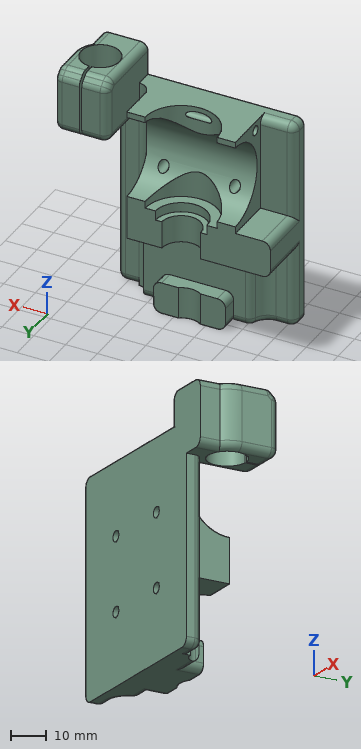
import cadquery as cq
import math

plate_width = 56.0
plate_height = 66.8
plate_thickness = 5.2
rim_radius = 2.55

web_left = 11.0
web_right = 45.2
web_depth = 20.2
shelf_bottom = 25.2
shelf_top = 36.8
gusset_radius = 4.0
pad_depth = 10.25
pad_sweep_radius = 5.0

stop_left = 16.8
stop_depth = 15.2
stop_height = 10.0

bore_x = 28.1
sink_radius = 11.3
collar_radius = 8.1
groove_radius = 6.1
collar_depth = 3.0

duct_radius = 13.0
duct_z = 52.0
fan_hole_offset = 12.0
fan_hole_diameter = 2.9

screw_diameter = 3.2
screw_spacing = 22.5
screw_left = 16.8
screw_low = 22.2

clamp_left = 49.1
clamp_right = 66.0
clamp_foot_right = 63.7
clamp_depth = 24.0
clamp_bottom = 56.9
clamp_top = 77.0
clamp_chamfer = 2.6
clamp_rounding = 2.5
rod_x = 57.75
rod_y = 12.1
rod_radius = 6.0
slit_width = 0.8

margin = 0.8


def box(x0, x1, y0, y1, z0, z1):
    """Box between two opposite corners."""
    return cq.Workplane("XY").box(x1 - x0, y1 - y0, z1 - z0, centered=False).translate((x0, y0, z0))


def upright_cylinder(x, y, radius, z0, z1):
    """Cylinder along Z from z0 to z1."""
    return cq.Workplane("XY", origin=(x, y, z0)).circle(radius).extrude(z1 - z0)


def make_plate():
    """Plate with round corners and a round rim on its back."""
    plate = box(0, plate_width, 0, plate_thickness, 0, plate_height).edges("|Y").fillet(rim_radius)
    return plate.faces(">Y").edges().fillet(rim_radius)


def make_web():
    """Upright housing with its right flank running out into the plate."""
    return (
        cq.Workplane("XY", origin=(0, 0, shelf_bottom))
        .moveTo(web_left, 0)
        .lineTo(web_left, web_depth)
        .lineTo(web_right, web_depth)
        .lineTo(web_right, plate_thickness + gusset_radius)
        .radiusArc((web_right + gusset_radius, plate_thickness), -gusset_radius)
        .lineTo(web_right + gusset_radius, 0)
        .close()
        .extrude(plate_height - shelf_bottom)
    )


def make_shelf():
    """Ledge that reaches out to the left side of the plate."""
    return box(0, web_right, 0, web_depth, shelf_bottom, shelf_top).edges("|Y and <X").fillet(rim_radius)


def make_pad():
    """Thick lower area: round rim, hollow flank and round shoulder on the left, gusset on the right."""
    sweep_x = web_left - pad_sweep_radius
    sweep_y = plate_thickness + pad_sweep_radius
    shoulder_y = pad_depth - rim_radius
    centre_distance = pad_sweep_radius + rim_radius
    rise = sweep_y - shoulder_y
    run = math.sqrt(centre_distance**2 - rise**2)
    share = pad_sweep_radius / centre_distance
    tangent_point = (sweep_x + run * share, sweep_y - rise * share)
    pad = (
        cq.Workplane("XY")
        .lineTo(0, plate_thickness - rim_radius)
        .radiusArc((rim_radius, plate_thickness), rim_radius)
        .lineTo(sweep_x, plate_thickness)
        .radiusArc(tangent_point, -pad_sweep_radius)
        .radiusArc((sweep_x + run, pad_depth), rim_radius)
        .lineTo(web_right, pad_depth)
        .lineTo(web_right, plate_thickness + gusset_radius)
        .radiusArc((web_right + gusset_radius, plate_thickness), -gusset_radius)
        .lineTo(web_right + gusset_radius, 0)
        .close()
        .extrude(shelf_bottom)
    )
    left_region = cq.selectors.BoxSelector(
        (-margin, margin, -margin),
        (web_right - margin, pad_depth + margin, margin),
    )
    return pad.edges(left_region).fillet(rim_radius)


def make_stop():
    """Stop block, centred under the bore, with round side edges."""
    stop_right = 2 * bore_x - stop_left
    return box(stop_left, stop_right, 0, stop_depth, 0, stop_height).edges("|Y").fillet(rim_radius)


def make_clamp():
    """Clamp block; its front edges and the upright edges of its bend stay sharp."""
    arc_radius = clamp_right - rod_x
    foot_y = rod_y - math.sqrt(arc_radius**2 - (clamp_foot_right - rod_x) ** 2)
    block = (
        cq.Workplane("XY", origin=(0, 0, clamp_bottom))
        .moveTo(clamp_left, 0)
        .lineTo(clamp_foot_right, 0)
        .lineTo(clamp_foot_right, foot_y)
        .radiusArc((clamp_right, rod_y), -arc_radius)
        .lineTo(clamp_right, clamp_depth)
        .lineTo(clamp_left, clamp_depth)
        .close()
        .extrude(clamp_top - clamp_bottom)
    )
    block = block.edges(">Y and >Z").chamfer(clamp_chamfer)
    bend_region = cq.selectors.BoxSelector(
        (rod_x, margin, clamp_bottom + margin),
        (clamp_right + margin, rod_y + margin, clamp_top - margin),
    )
    kept_sharp = block.faces("<Y").edges().vals() + block.edges(bend_region).vals()
    rounded = [edge for edge in block.edges().vals() if edge not in kept_sharp]
    return block.newObject(rounded).fillet(clamp_rounding)


def cut_bores(body):
    """Stepped bore, crosswise duct and fan screw hole of the housing."""
    body = body.cut(upright_cylinder(bore_x, web_depth, sink_radius, shelf_top, plate_height))
    body = body.cut(upright_cylinder(bore_x, web_depth, collar_radius, shelf_top - collar_depth, shelf_top))
    body = body.cut(upright_cylinder(bore_x, web_depth, groove_radius, 0, shelf_top))
    across = cq.Workplane("YZ", origin=(web_left, 0, 0))
    duct = across.center(web_depth, duct_z).circle(duct_radius).extrude(clamp_left - web_left)
    fan_hole = (
        across.center(web_depth - fan_hole_offset, duct_z + fan_hole_offset)
        .circle(fan_hole_diameter / 2)
        .extrude(clamp_left - web_left)
    )
    return body.cut(duct).cut(fan_hole)


def cut_screw_holes(body):
    """Two by two screw holes through plate and pad."""
    for column in range(2):
        for row in range(2):
            x = screw_left + column * screw_spacing
            z = screw_low + row * screw_spacing
            hole = cq.Workplane("XZ", origin=(x, 0, z)).circle(screw_diameter / 2).extrude(-web_depth)
            body = body.cut(hole)
    return body


def cut_rod_seat(body):
    """Rod bore of the clamp and the slit that lets it close."""
    rod = upright_cylinder(rod_x, rod_y, rod_radius, clamp_bottom, clamp_top)
    half_slit = slit_width / 2
    slit = box(rod_x - half_slit, rod_x + half_slit, rod_y, clamp_depth, clamp_bottom, clamp_top)
    return body.cut(rod).cut(slit)


housing = make_plate().union(make_web()).union(make_shelf()).union(make_pad()).union(make_stop())
housing = cut_screw_holes(cut_bores(housing))
result = housing.union(cut_rod_seat(make_clamp()))